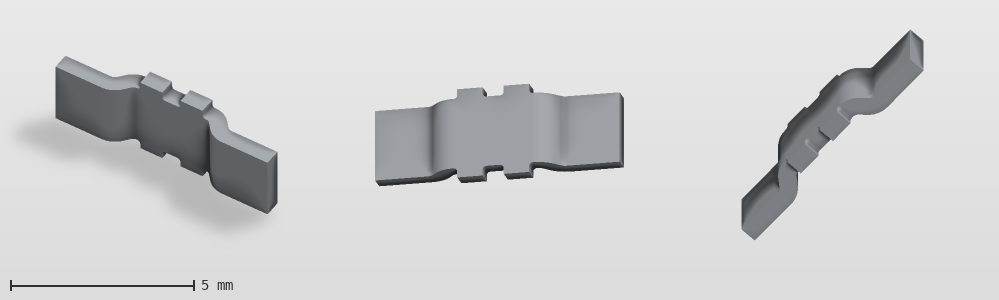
import cadquery as cq
import math

length = 6.85
body_height = 2.0
overall_height = 2.54
thickness = 0.5
overall_depth = 2 * thickness

tab_width = 0.71
tab_gap = 0.59
root_radius = 0.1

plate_length = tab_gap + 2 * tab_width + 2 * root_radius
inner_radius = 0.2
outer_radius = inner_radius + thickness
bend_angle = math.radians(50)

front = -overall_depth / 2
back = overall_depth / 2
half_length = length / 2
half_plate = plate_length / 2

sine = math.sin(bend_angle)
cosine = math.cos(bend_angle)
bend_drop = (inner_radius + outer_radius) * (1 - cosine)
joggle_length = (inner_radius + outer_radius) * sine + (thickness - bend_drop) / math.tan(bend_angle)
bend_end = half_plate + joggle_length


def arc_point(start_x, start_y, radius, angle, x_side, y_side):
    """Point on an arc that leaves the start parallel to X and turns toward y_side."""
    x = start_x + x_side * radius * math.sin(angle)
    y = start_y + y_side * radius * (1 - math.cos(angle))
    return x, y


def add_joggle_face(outline, start, end, start_radius, end_radius):
    """Arc, sloped line and arc that carry one face from start to end."""
    x_side = math.copysign(1, end[0] - start[0])
    y_side = math.copysign(1, end[1] - start[1])
    start_mid = arc_point(*start, start_radius, bend_angle / 2, x_side, y_side)
    start_tangent = arc_point(*start, start_radius, bend_angle, x_side, y_side)
    end_mid = arc_point(*end, end_radius, bend_angle / 2, -x_side, -y_side)
    end_tangent = arc_point(*end, end_radius, bend_angle, -x_side, -y_side)
    return (
        outline.threePointArc(start_mid, start_tangent)
        .lineTo(*end_tangent)
        .threePointArc(end_mid, end)
    )


def make_strip():
    """Bent strip: two leads at the front joined to the raised center plate."""
    outline = cq.Workplane("XY").moveTo(-half_length, front).lineTo(-bend_end, front)
    outline = add_joggle_face(outline, (-bend_end, front), (-half_plate, 0), outer_radius, inner_radius)
    outline = outline.lineTo(half_plate, 0)
    outline = add_joggle_face(outline, (half_plate, 0), (bend_end, front), inner_radius, outer_radius)
    outline = outline.lineTo(half_length, front).lineTo(half_length, 0).lineTo(bend_end, 0)
    outline = add_joggle_face(outline, (bend_end, 0), (half_plate, back), inner_radius, outer_radius)
    outline = outline.lineTo(-half_plate, back)
    outline = add_joggle_face(outline, (-half_plate, back), (-bend_end, 0), outer_radius, inner_radius)
    return outline.lineTo(-half_length, 0).close().extrude(body_height / 2, both=True)


def make_tab_pair(center_x):
    """Upper and lower tabs in one bar across the plate, flared by round roots at the plate edges."""
    side = tab_width / 2
    edge = body_height / 2
    tip = overall_height / 2
    flare = side + root_radius
    arc_inset = root_radius * math.sqrt(0.5)
    mid_x = flare - arc_inset
    mid_z = edge + root_radius - arc_inset
    return (
        cq.Workplane("XZ", origin=(center_x, back, 0))
        .moveTo(-flare, -edge)
        .threePointArc((-mid_x, -mid_z), (-side, -edge - root_radius))
        .lineTo(-side, -tip)
        .lineTo(side, -tip)
        .lineTo(side, -edge - root_radius)
        .threePointArc((mid_x, -mid_z), (flare, -edge))
        .lineTo(flare, edge)
        .threePointArc((mid_x, mid_z), (side, edge + root_radius))
        .lineTo(side, tip)
        .lineTo(-side, tip)
        .lineTo(-side, edge + root_radius)
        .threePointArc((-mid_x, mid_z), (-flare, edge))
        .close()
        .extrude(thickness)
    )


tab_center = (tab_gap + tab_width) / 2
result = make_strip()
for tab_x in (-tab_center, tab_center):
    result = result.union(make_tab_pair(tab_x))